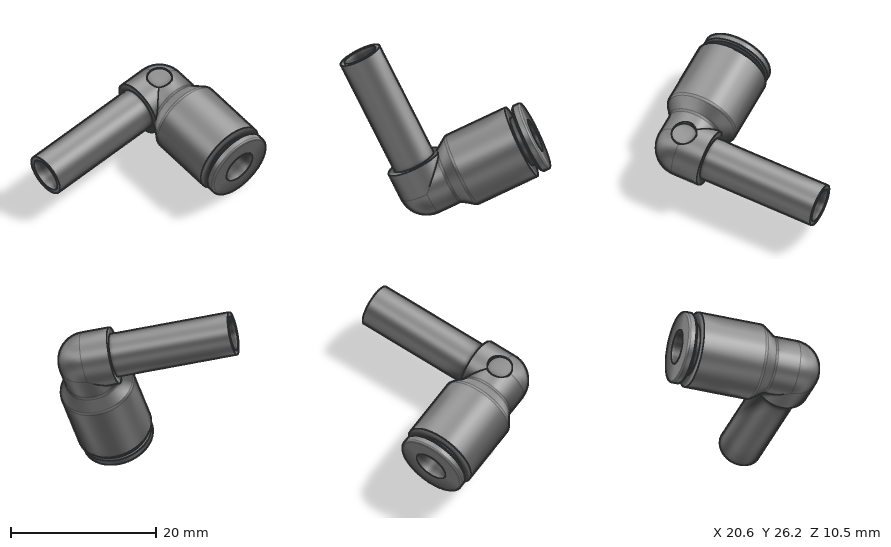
import cadquery as cq

elbow_diameter = 7.9
elbow_radius = elbow_diameter / 2
bore_diameter = 4.8
bore_radius = bore_diameter / 2

body_diameter = 10.5
body_radius = body_diameter / 2
cone_start_x = 3.43
cone_end_x = 5.32
body_end_x = 14.55
root_blend_radius = 0.65
shoulder_blend_radius = 0.68
rim_search_distance = 0.13

neck_diameter = 7.25
collar_diameter = 9.95
collar_end_x = 16.66
collar_width = 1.28
collar_start_x = collar_end_x - collar_width
collar_back_chamfer = 0.25
collar_mouth_radius = 0.25

stem_diameter = 6.0
overall_length_y = 26.2
stem_end_y = body_radius - overall_length_y

recess_diameter = 3.48
recess_floor_z = 3.38


def cylinder_x(diameter, start_x, end_x):
    """Cylinder about the X axis."""
    return cq.Workplane("YZ", origin=(start_x, 0, 0)).circle(diameter / 2).extrude(end_x - start_x)


def cylinder_minus_y(diameter, length):
    """Cylinder about the Y axis, running from the origin towards -Y."""
    return cq.Workplane("XZ").circle(diameter / 2).extrude(length)


def rims_near(x):
    """Selector for the circular edges of the socket whose centre lies close to x on the axis."""
    return cq.selectors.BoxSelector(
        (x - rim_search_distance, -body_radius, -body_radius),
        (x + rim_search_distance, body_radius, body_radius),
    )


def make_socket():
    """X branch, cone and cylindrical body with blended cone edges."""
    socket = (
        cq.Workplane("XY")
        .moveTo(0, 0)
        .lineTo(0, elbow_radius)
        .lineTo(cone_start_x, elbow_radius)
        .lineTo(cone_end_x, body_radius)
        .lineTo(body_end_x, body_radius)
        .lineTo(body_end_x, 0)
        .close()
        .revolve(360, (0, 0, 0), (1, 0, 0))
    )
    socket = socket.edges(rims_near(cone_start_x)).fillet(root_blend_radius)
    return socket.edges(rims_near(cone_end_x)).fillet(shoulder_blend_radius)


def make_collar():
    """Release collar on its narrower neck: back rim chamfered, mouth rim rounded."""
    neck = cylinder_x(neck_diameter, body_end_x, collar_end_x)
    flange = cylinder_x(collar_diameter, collar_start_x, collar_end_x)
    flange = flange.faces("<X").edges().chamfer(collar_back_chamfer)
    flange = flange.faces(">X").edges().fillet(collar_mouth_radius)
    return neck.union(flange)


def make_bore():
    """Passage through the stem, round the corner and out through the collar."""
    corner = cq.Workplane("XY").sphere(bore_radius)
    stem_bore = cylinder_minus_y(bore_diameter, -stem_end_y)
    socket_bore = cylinder_x(bore_diameter, 0, collar_end_x)
    return corner.union(stem_bore).union(socket_bore)


def make_recess():
    """Shallow round pocket cut down into the crown of the elbow."""
    pocket_height = elbow_radius - recess_floor_z
    return (
        cq.Workplane("XY", origin=(0, 0, recess_floor_z))
        .circle(recess_diameter / 2)
        .extrude(pocket_height)
    )


elbow_corner = cq.Workplane("XY").sphere(elbow_radius)
elbow_sleeve = cylinder_minus_y(elbow_diameter, elbow_radius)
stem = cylinder_minus_y(stem_diameter, -stem_end_y)

result = (
    make_socket()
    .union(elbow_corner)
    .union(elbow_sleeve)
    .union(stem)
    .union(make_collar())
    .cut(make_bore())
    .cut(make_recess())
)